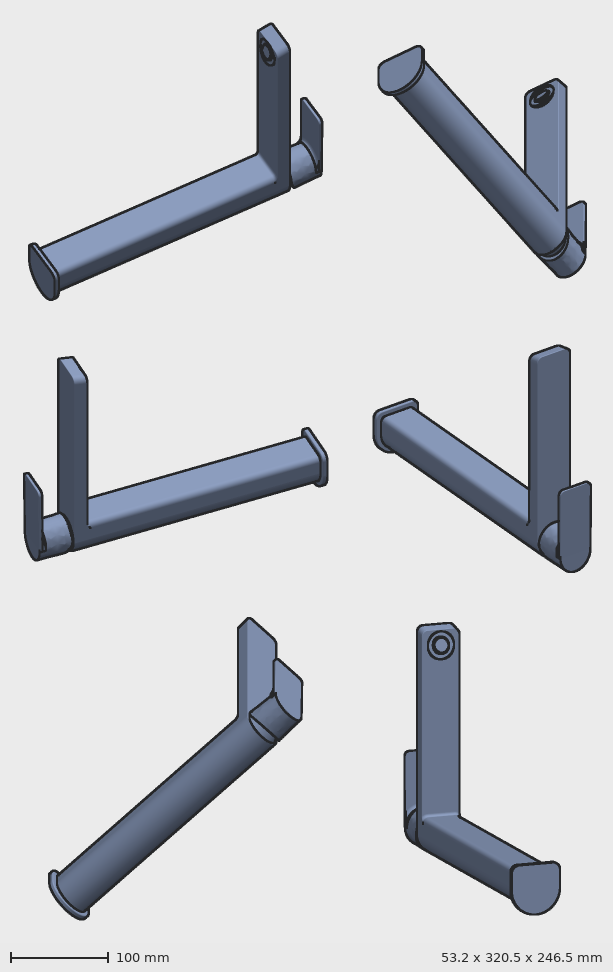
import cadquery as cq
import math

overall_length = 320.5

edge_radius = 0.5

plate_width = 53.2
plate_thickness = 5.5
plate_corner_radius = 7.7
plate_edge_radius = 1.3

post_width = 41.7
post_end = 281.5
post_corner_radius = 6.0
arm_thickness = 15.0
arm_top = 220.0
arm_top_slope = 11.5
arm_corner_radius = 6.7
arm_root_radius = 3.2

outlet_height = 200.3
ring_tilt = 11.0
ring_radius = 14.5
ring_depth = 4.8
nozzle_tilt = 16.0
nozzle_radius = 9.0
nozzle_face_radius = 7.7
nozzle_depth = 3.2
nozzle_projection = 1.5

cartridge_radius = 19.0
cartridge_length = 16.0
cartridge_half_angle = 18.0

knob_start = 283.3
knob_front_width = 41.5
knob_end_width = 37.8
lever_width = 38.5
undercut_depth = 8.3
lever_thickness = 4.2
lever_lean = 1.0
lever_top = 79.2
lever_corner_radius = 5.5
lever_root_radius = 4.0

post_radius = post_width / 2
arm_front = post_end - arm_thickness
lever_front = overall_length - lever_thickness
root_fillet_start = lever_front - lever_root_radius
lever_foot_back = overall_length - lever_lean


def arched_outline(width, y):
    """Outline across Y with a flat top and a half-round bottom, centred on the post axis."""
    half = width / 2
    return (
        cq.Workplane("XZ", origin=(0, y, 0))
        .moveTo(-half, half)
        .lineTo(half, half)
        .lineTo(half, 0)
        .threePointArc((0, -half), (-half, 0))
        .close()
    )


def upright(side_outline, half_width):
    """Slab whose (Y, Z) side outline runs to the same distance on both sides of X = 0."""
    return cq.Workplane("YZ").polyline(side_outline).close().extrude(half_width, both=True)


def make_base_plate():
    plate = arched_outline(plate_width, 0).extrude(-plate_thickness)
    plate = plate.edges("|Y and >Z").fillet(plate_corner_radius)
    return plate.faces(">Y").edges().fillet(plate_edge_radius)


def outlet_plane(tilt):
    """Plane at the outlet centre on the arm's front, facing out of the arm and tilted upward."""
    angle = math.radians(tilt)
    normal = (0, -math.cos(angle), math.sin(angle))
    return cq.Plane(origin=(0, arm_front, outlet_height), xDir=(1, 0, 0), normal=normal)


def outlet_cylinder(start, end):
    """Cylinder of the ring's radius between two distances along the ring axis."""
    base = cq.Workplane(outlet_plane(ring_tilt)).workplane(offset=start)
    return base.circle(ring_radius).extrude(end - start)


def make_post():
    post = arched_outline(post_width, plate_thickness).extrude(plate_thickness - post_end)
    return post.edges("|Y and >Z").fillet(post_corner_radius)


def make_body():
    arm_front_top = arm_top - arm_thickness * math.tan(math.radians(arm_top_slope))
    arm_outline = [(arm_front, 0), (post_end, 0), (post_end, arm_top), (arm_front, arm_front_top)]

    body = make_post().union(upright(arm_outline, post_width))
    root_zone = cq.selectors.BoxSelector(
        (-post_width, arm_front - edge_radius, edge_radius),
        (post_width, arm_front + edge_radius, post_width),
    )
    body = body.edges(root_zone).fillet(arm_root_radius)
    body_box = [(0, -post_radius), (post_end, -post_radius), (post_end, arm_top), (0, arm_top)]
    body = body.intersect(upright(body_box, post_radius))

    body = body.faces(">Z").edges("not |X").fillet(arm_corner_radius)
    body = body.faces(">Y").edges().fillet(edge_radius)
    front_zone = cq.selectors.BoxSelector(
        (-post_width, arm_front - edge_radius, post_width),
        (post_width, arm_front + edge_radius, 2 * arm_top),
    )
    body = body.edges(front_zone).fillet(edge_radius)
    return body.cut(outlet_cylinder(-ring_depth, ring_depth))


def make_outlet_ring():
    return outlet_cylinder(-ring_depth, 0).cut(make_nozzle())


def make_nozzle():
    nozzle = (
        cq.Workplane("XZ")
        .moveTo(0, -nozzle_depth)
        .lineTo(nozzle_radius, -nozzle_depth)
        .lineTo(nozzle_radius, 0)
        .lineTo(nozzle_face_radius, nozzle_projection)
        .lineTo(0, nozzle_projection)
        .close()
        .revolve(360, (0, 0, 0), (0, 1, 0))
    )
    return cq.Workplane(nozzle.val().moved(outlet_plane(nozzle_tilt).location))


def make_cartridge():
    tip_radius = cartridge_radius - cartridge_length * math.tan(math.radians(cartridge_half_angle))
    return cq.Workplane(
        cq.Solid.makeCone(cartridge_radius, tip_radius, cartridge_length, (0, post_end, 0), (0, 1, 0))
    )


def make_knob():
    """Knob of elliptical section that narrows sideways toward the lever and is undercut below."""
    knob = (
        cq.Workplane("XZ", origin=(0, knob_start, 0))
        .ellipse(knob_front_width / 2, post_radius)
        .workplane(offset=knob_start - lever_foot_back)
        .ellipse(knob_end_width / 2, post_radius)
        .loft()
    )
    undercut = upright(
        [(knob_start, 0), (knob_start, -post_radius), (knob_start + undercut_depth, -post_radius)],
        post_width,
    )
    return knob.cut(undercut)


def make_lever():
    outline = [
        (lever_front, 0),
        (lever_foot_back, 0),
        (overall_length, lever_top),
        (lever_front, lever_top),
    ]
    lever = upright(outline, lever_width / 2)
    lever = lever.faces(">Z").edges("|Y").fillet(lever_corner_radius)
    return lever.faces("<Y or >Y").edges("not <Z").fillet(edge_radius)


def make_lever_root_fillet():
    """Concave flare around the upper half of the knob, flush with the lever's sides."""
    bend = lever_root_radius * (1 - math.sqrt(0.5))
    flare_radius = post_radius + lever_root_radius
    flare = (
        cq.Workplane("XY")
        .moveTo(0, root_fillet_start)
        .lineTo(post_radius, root_fillet_start)
        .threePointArc((post_radius + bend, lever_front - bend), (flare_radius, lever_front))
        .lineTo(0, lever_front)
        .close()
        .revolve(360, (0, 0, 0), (0, 1, 0))
    )
    upper = [
        (root_fillet_start, 0),
        (lever_front, 0),
        (lever_front, flare_radius),
        (root_fillet_start, flare_radius),
    ]
    return flare.intersect(upright(upper, lever_width / 2))


def make_handle():
    handle = make_knob().union(make_lever()).union(make_lever_root_fillet())
    return handle.cut(make_cartridge())


base_plate = make_base_plate()
body = make_body()
outlet_ring = make_outlet_ring()
nozzle = make_nozzle()
cartridge = make_cartridge()
handle = make_handle()

result = cq.Compound.makeCompound(
    [
        base_plate.val(),
        body.val(),
        outlet_ring.val(),
        nozzle.val(),
        cartridge.val(),
        handle.val(),
    ]
)